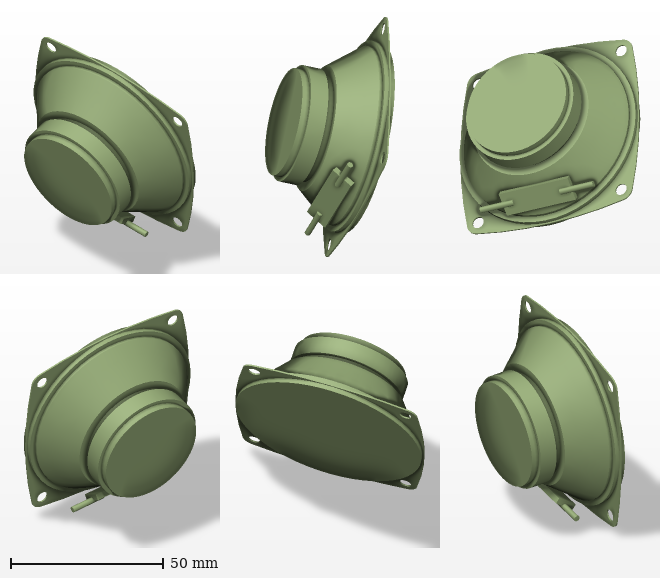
import cadquery as cq
import math

flange_size = 65.0
flange_thickness = 0.5
hole_spacing = 52.0
hole_diameter = 4.0
corner_radius = 4.0

rim_diameter = 64.0
shoulder_diameter = 60.0
cone_end_diameter = 42.0
neck_diameter = 36.0
magnet_diameter = 39.0

rim_length = 1.55
shoulder_length = 1.05
cone_length = 11.65
neck_length = 2.35
magnet_length = 6.05
total_depth = 27.2

block_width = 25.0
block_length = 8.0
block_thickness = 2.0
block_offset = 3.0
pin_diameter = 2.0
pin_length = 12.0
pin_span = 40.95

flange_front = rim_length
rim_end = 2 * rim_length + flange_thickness
cone_start = rim_end + shoulder_length
cone_end = cone_start + cone_length
magnet_start = cone_end + neck_length
magnet_end = magnet_start + magnet_length
cone_drop = (shoulder_diameter - cone_end_diameter) / 2
cone_angle = math.degrees(math.atan2(cone_drop, cone_length))


def plane_at(depth):
    """Plane facing -Y at a depth behind the speaker face."""
    return cq.Workplane("XZ", origin=(0, -depth, 0))


def make_flange():
    """Plate whose four bowed sides run tangent into the rounded corners."""
    half = flange_size / 2
    hole = hole_spacing / 2
    crown = half - hole
    side_radius = (hole**2 + crown**2 - corner_radius**2) / (2 * (crown - corner_radius))
    side_tilt = math.asin(hole / (side_radius - corner_radius))
    along = side_radius * math.sin(side_tilt)
    across = half - side_radius * (1 - math.cos(side_tilt))
    corner_mid = hole + corner_radius * math.sqrt(0.5)

    def turned(x, z, quarter):
        angle = -quarter * math.pi / 2
        return (x * math.cos(angle) - z * math.sin(angle), x * math.sin(angle) + z * math.cos(angle))

    outline = plane_at(flange_front).moveTo(-along, across)
    for quarter in range(4):
        outline = outline.threePointArc(turned(0, half, quarter), turned(along, across, quarter))
        outline = outline.threePointArc(
            turned(corner_mid, corner_mid, quarter), turned(across, along, quarter)
        )
    plate = outline.close().extrude(flange_thickness)
    holes = (
        plane_at(flange_front)
        .rect(hole_spacing, hole_spacing, forConstruction=True)
        .vertices()
        .circle(hole_diameter / 2)
        .extrude(flange_thickness)
    )
    return plate.cut(holes)


def make_turned_body():
    """Rim, shoulder, cone, neck and magnet as one revolved profile."""
    profile = [
        (0, 0),
        (rim_diameter / 2, 0),
        (rim_diameter / 2, -rim_end),
        (shoulder_diameter / 2, -rim_end),
        (shoulder_diameter / 2, -cone_start),
        (cone_end_diameter / 2, -cone_end),
        (neck_diameter / 2, -cone_end),
        (neck_diameter / 2, -magnet_start),
        (magnet_diameter / 2, -magnet_start),
        (magnet_diameter / 2, -magnet_end),
        (neck_diameter / 2, -magnet_end),
        (neck_diameter / 2, -total_depth),
        (0, -total_depth),
    ]
    return cq.Workplane("XY").polyline(profile).close().revolve(360, (0, 0), (0, 1))


def make_speaker():
    return make_turned_body().union(make_flange())


def make_terminal():
    """Flat block tangent to the cone, with a pin half sunk into each end."""
    block = cq.Workplane("XY").box(
        block_width, block_length, block_thickness, centered=(True, True, False)
    )
    middle_y = -block_offset - block_length / 2
    block = block.translate((0, middle_y, -block_thickness))
    for start in (-pin_span / 2, pin_span / 2 - pin_length):
        pin = cq.Workplane("YZ", origin=(start, middle_y, -block_thickness))
        block = block.union(pin.circle(pin_diameter / 2).extrude(pin_length))
    tilted = block.rotate((0, 0, 0), (1, 0, 0), -cone_angle)
    return tilted.translate((0, -cone_start, -shoulder_diameter / 2))


speaker = make_speaker()
terminal = make_terminal()

result = cq.Compound.makeCompound([speaker.val(), terminal.val()])